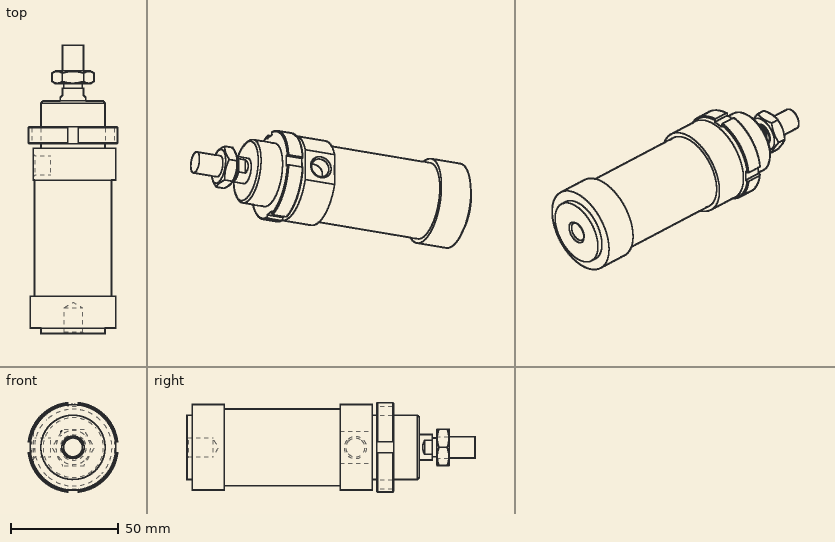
import cadquery as cq
import math


cap_diameter = 40.0
cap_length = 15.0
tube_diameter = 36.0
tube_length = 54.0
spigot_diameter = 30.0
front_spigot_length = 22.0
rear_spigot_length = 2.5
spigot_chamfer = 1.0
rear_face_y = -(cap_length + tube_length + cap_length + rear_spigot_length)

port_diameter = 8.8
port_mouth_diameter = 10.4
port_chamfer = (port_mouth_diameter - port_diameter) / 2
side_port_y = -8.0
side_port_depth = 8.0
rear_port_depth = 12.0
rear_port_tip_angle = 118.0
rear_port_tip_length = port_diameter / 2 / math.tan(math.radians(rear_port_tip_angle / 2))
port_flat_width = 15.0
port_flat_offset = math.sqrt(cap_diameter**2 - port_flat_width**2) / 2

mount_nut_diameter = 42.0
mount_nut_thickness = 8.0
mount_nut_chamfer = 0.5
mount_nut_start_y = 2.0
mount_slot_width = 5.0
mount_slot_floor = 19.2
mount_slot_count = 4

collar_diameter = 12.0
collar_length = 6.0
collar_flats = 10.0
collar_flat_length = 3.5
neck_diameter = 8.8
neck_length = 2.0
thread_diameter = 10.0
thread_length = 18.0
thread_start_y = front_spigot_length + collar_length + neck_length

rod_nut_flats = 17.0
rod_nut_thickness = 6.0
rod_nut_corners = rod_nut_flats / math.cos(math.pi / 6)
rod_nut_chamfer_angle = 30.0
rod_nut_bearing_diameter = 16.0


def cylinder(diameter, start_y, length):
    """Cylinder on the Y axis, from start_y toward +Y."""
    disc = cq.Workplane("XZ", origin=(0, start_y, 0)).circle(diameter / 2)
    return disc.extrude(-length)


def port_cutter(depth, tip_length=0.0):
    """Chamfered port hole, mouth at the origin, running down -Z; a tip length makes its floor conical."""
    radius = port_diameter / 2
    profile = (
        cq.Workplane("XZ")
        .lineTo(port_mouth_diameter / 2, 0)
        .lineTo(radius, -port_chamfer)
        .lineTo(radius, -depth)
        .lineTo(0, -depth - tip_length)
        .close()
    )
    return profile.revolve(360, (0, 0, 0), (0, 1, 0))


def make_housing():
    front_spigot = cylinder(spigot_diameter, 0, front_spigot_length)
    front_spigot = front_spigot.faces(">Y").chamfer(spigot_chamfer)

    front_cap = cylinder(cap_diameter, -cap_length, cap_length)
    beyond_flat = cq.Workplane("XY").box(cap_diameter, cap_length, cap_diameter)
    beyond_flat = beyond_flat.translate((-port_flat_offset - cap_diameter / 2, -cap_length / 2, 0))
    front_cap = front_cap.cut(beyond_flat)

    tube = cylinder(tube_diameter, -cap_length - tube_length, tube_length)
    rear_cap = cylinder(cap_diameter, rear_face_y + rear_spigot_length, cap_length)
    rear_spigot = cylinder(spigot_diameter, rear_face_y, rear_spigot_length)
    body = front_spigot.union(front_cap).union(tube).union(rear_cap).union(rear_spigot)

    side_port = port_cutter(side_port_depth).rotate((0, 0, 0), (0, 1, 0), -90)
    side_port = side_port.translate((-port_flat_offset, side_port_y, 0))
    rear_port = port_cutter(rear_port_depth, rear_port_tip_length).rotate((0, 0, 0), (1, 0, 0), 90)
    rear_port = rear_port.translate((0, rear_face_y, 0))
    return body.cut(side_port).cut(rear_port)


def make_mounting_nut():
    nut = cylinder(mount_nut_diameter, mount_nut_start_y, mount_nut_thickness)
    nut = nut.edges().chamfer(mount_nut_chamfer)
    nut = nut.cut(cylinder(spigot_diameter, mount_nut_start_y, mount_nut_thickness))

    slot = cq.Workplane("XY").box(
        mount_slot_width, mount_nut_thickness, mount_nut_diameter, centered=(True, False, False)
    )
    slot = slot.translate((0, mount_nut_start_y, mount_slot_floor))
    for index in range(mount_slot_count):
        nut = nut.cut(slot.rotate((0, 0, 0), (0, 1, 0), index * 360 / mount_slot_count))
    return nut


def make_rod():
    collar = cylinder(collar_diameter, front_spigot_length, collar_length)
    collar_end_y = front_spigot_length + collar_length
    flat_end_y = collar_end_y - collar_flat_length
    flat_depth = (collar_diameter - collar_flats) / 2
    flat_cutter = (
        cq.Workplane("XY")
        .moveTo(collar_flats / 2, collar_end_y)
        .lineTo(collar_flats / 2, flat_end_y)
        .lineTo(collar_diameter / 2, flat_end_y - flat_depth)
        .lineTo(collar_diameter / 2, collar_end_y)
        .close()
        .extrude(collar_diameter / 2, both=True)
    )
    collar = collar.cut(flat_cutter).cut(flat_cutter.mirror("YZ"))
    neck = cylinder(neck_diameter, collar_end_y, neck_length)
    thread = cylinder(thread_diameter, thread_start_y, thread_length)
    return collar.union(neck).union(thread)


def make_rod_nut():
    hexagon = cq.Workplane("XZ", origin=(0, thread_start_y, 0)).polygon(6, rod_nut_corners)
    nut = hexagon.extrude(-rod_nut_thickness)

    corner_radius = rod_nut_corners / 2
    bearing_radius = rod_nut_bearing_diameter / 2
    bevel = (corner_radius - bearing_radius) * math.tan(math.radians(rod_nut_chamfer_angle))
    end_y = thread_start_y + rod_nut_thickness
    blank = (
        cq.Workplane("XY")
        .moveTo(0, thread_start_y)
        .lineTo(bearing_radius, thread_start_y)
        .lineTo(corner_radius, thread_start_y + bevel)
        .lineTo(corner_radius, end_y - bevel)
        .lineTo(bearing_radius, end_y)
        .lineTo(0, end_y)
        .close()
        .revolve(360, (0, 0, 0), (0, 1, 0))
    )
    return nut.intersect(blank).cut(cylinder(thread_diameter, thread_start_y, rod_nut_thickness))


housing = make_housing()
mounting_nut = make_mounting_nut()
rod = make_rod()
rod_nut = make_rod_nut()

result = cq.Compound.makeCompound([housing.val(), mounting_nut.val(), rod.val(), rod_nut.val()])